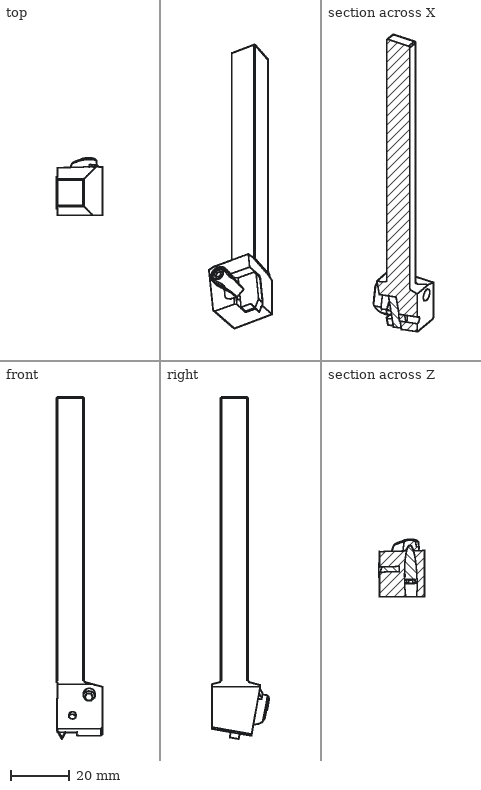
import cadquery as cq
import math


total_height = 117.4
shank_side = 9.5
shank_chamfer = 0.5

head_left = 0.4
head_right = 15.8
head_front = -7.7
head_stock = 10.6
trim_top_v = 35.2
shoulder_z = 19.5
shoulder_slope = 15.0
root_radius = 0.7

seat_tilt = 10.0
seat_twist = 1.5
seat_y = 5.3
head_bottom_v = 1.2
bottom_chamfer = 0.6
pocket_chamfer = 0.6

rake_depth = 3.8
insert_thickness = 3.2
insert_width = 6.9
insert_top_v = 13.6
insert_corner_radius = 1.3
tip_u = 1.8
tip_v = -0.66
tip_half_angle = 30.0
insert_base_v = 1.6
floor_depth = rake_depth + insert_thickness

relief_bottom_v = 3.8
relief_run = 3.9
relief_radius = 1.9

screw_u = 10.9
screw_v = 12.8
screw_diameter = 4.1
screw_end_depth = 10.9
screw_head_rise = 0.2
socket_size = 2.8
socket_depth = 1.2

clamp_head_radius = 3.0
clamp_head_chamfer = 0.6
clamp_thickness = 3.6
nose_u = 5.9
nose_v = 6.1
nose_half_width = 1.8
nose_round = 4.3
toe_depth = 2.1
toe_length = 1.4
tail_reach = 5.0
tail_half_width = 1.4
tail_thickness = 1.3
tail_slope_run = 1.8

pin_u = 5.2
pin_v = 5.8
pin_diameter = 2.5
pin_length = 2.6

through = 47.0

seat = (
    cq.Plane(origin=(0, seat_y, 0), xDir=(1, 0, 0), normal=(0, -1, 0))
    .rotated((0, seat_twist, 0))
    .rotated((-seat_tilt, 0, 0))
)


def on_seat(depth=0.0):
    """Workplane parallel to the rear face, at a depth below it."""
    return cq.Workplane(seat).workplane(offset=depth)


def nearest_edge(body, plane, point):
    """Edge of a body whose middle is nearest to a point given in a plane's own coordinates."""
    return body.edges(cq.selectors.NearestToPointSelector(plane.toWorldCoords(point).toTuple()))


def seat_cylinder(u, v, diameter, start_depth, end_depth):
    """Cylinder at right angles to the seat, between two depths."""
    return on_seat(start_depth).center(u, v).circle(diameter / 2).extrude(end_depth - start_depth)


def shoulder_end(start, end):
    """Height of the shoulder at `end` when it starts sloping at `start`."""
    return shoulder_z - abs(end - start) * math.tan(math.radians(shoulder_slope))


def root_middle(edge, outward):
    """Middle of the concave quarter circle between the shank's side, at `edge`, and the shoulder."""
    offset = root_radius * (1 - math.sqrt(0.5))
    return (edge + outward * offset, shoulder_z + offset)


def make_holder_blank():
    """Shank and head, common to a front profile and a side profile."""
    half_side = shank_side / 2
    shoulder_right = shank_side + root_radius
    front = (
        cq.Workplane("XZ")
        .moveTo(0, total_height)
        .lineTo(0, shoulder_z)
        .lineTo(head_left, shoulder_z)
        .lineTo(head_left, -head_stock)
        .lineTo(head_right, -head_stock)
        .lineTo(head_right, shoulder_end(shoulder_right, head_right))
        .lineTo(shoulder_right, shoulder_z)
        .threePointArc(root_middle(shank_side, 1), (shank_side, shoulder_z + root_radius))
        .lineTo(shank_side, total_height)
        .close()
    )

    shoulder_side = half_side + root_radius
    side = (
        cq.Workplane("YZ")
        .moveTo(half_side, total_height)
        .lineTo(-half_side, total_height)
        .lineTo(-half_side, shoulder_z + root_radius)
        .threePointArc(root_middle(-half_side, -1), (-shoulder_side, shoulder_z))
        .lineTo(head_front, shoulder_end(-shoulder_side, head_front))
        .lineTo(head_front, -head_stock)
        .lineTo(head_stock, -head_stock)
        .lineTo(head_stock, shoulder_end(shoulder_side, head_stock))
        .lineTo(shoulder_side, shoulder_z)
        .threePointArc(root_middle(half_side, 1), (half_side, shoulder_z + root_radius))
        .close()
    )
    blank = front.extrude(through, both=True).intersect(side.extrude(through, both=True))
    return blank.cut(make_shank_chamfers())


def make_shank_chamfers():
    """Material taken off the shank's end and its long edges, down to the root blend."""
    bar = (
        cq.Workplane("XY", origin=(shank_side / 2, 0, shoulder_z + root_radius))
        .rect(shank_side, shank_side)
        .extrude(total_height - shoulder_z - root_radius)
    )
    return bar.cut(bar.edges("|Z or >Z").chamfer(shank_chamfer))


def trim_head(blank):
    """Cuts the tilted rear and bottom faces of the head, well clear of the shank."""
    rear_waste = on_seat().rect(2 * through, 2 * trim_top_v).extrude(-through)
    bottom_waste = (
        on_seat(-through)
        .center(0, head_bottom_v - through / 2)
        .rect(2 * through, through)
        .extrude(2 * through)
    )
    return blank.cut(rear_waste).cut(bottom_waste)


def make_insert():
    """Plate with a rounded top left corner and a pointed tip at the bottom left."""
    tip_slope = 1 / math.tan(math.radians(tip_half_angle))
    return (
        on_seat(rake_depth)
        .moveTo(tip_u, tip_v)
        .lineTo(tip_u + (insert_base_v - tip_v) / tip_slope, insert_base_v)
        .lineTo(insert_width, insert_base_v)
        .lineTo(insert_width, insert_top_v)
        .lineTo(insert_corner_radius, insert_top_v)
        .radiusArc((0, insert_top_v - insert_corner_radius), -insert_corner_radius)
        .lineTo(0, tip_v + tip_u * tip_slope)
        .close()
        .extrude(insert_thickness)
    )


def make_insert_pocket():
    """Cut for the insert, open to the left, to the bottom and to the rear."""
    return (
        on_seat()
        .moveTo(-through, -through)
        .lineTo(insert_width, -through)
        .lineTo(insert_width, insert_top_v)
        .lineTo(-through, insert_top_v)
        .close()
        .extrude(floor_depth)
    )


def make_clamp_relief():
    """Space above the cutting face that widens towards the rear face; its lower end is rounded."""
    lower_end = cq.Workplane(seat.rotated((90, 0, 0))).workplane(offset=-relief_bottom_v)
    relief = (
        lower_end
        .lineTo(insert_width + relief_run, 0)
        .lineTo(insert_width, rake_depth)
        .lineTo(0, rake_depth)
        .close()
        .extrude(relief_bottom_v - insert_top_v)
    )
    lower_corner = (insert_width + relief_run / 2, relief_bottom_v, rake_depth / 2)
    return nearest_edge(relief, seat, lower_corner).fillet(relief_radius)


def make_holder():
    holder = trim_head(make_holder_blank())
    holder = holder.cut(make_insert_pocket())
    wall_corner = (insert_width, (head_bottom_v + insert_top_v) / 2, 0)
    holder = nearest_edge(holder, seat, wall_corner).chamfer(pocket_chamfer)
    right_corner = (head_right, head_bottom_v, floor_depth)
    holder = nearest_edge(holder, seat, right_corner).chamfer(bottom_chamfer)
    holder = holder.cut(make_clamp_relief())
    holder = holder.cut(seat_cylinder(screw_u, screw_v, screw_diameter, 0, through))
    return holder.cut(seat_cylinder(pin_u, pin_v, pin_diameter, 0, through))


def make_pin():
    return seat_cylinder(pin_u, pin_v, pin_diameter, floor_depth, floor_depth + pin_length)


def make_clamp():
    """Round head and narrower nose, with a toe that reaches below the rear face and a low tail."""
    run_u = nose_u - screw_u
    run_v = nose_v - screw_v
    reach = math.hypot(run_u, run_v)
    arm_angle = math.degrees(math.atan2(run_v, run_u))

    plan = cq.Plane(seat.toWorldCoords((screw_u, screw_v)), seat.xDir, seat.zDir)
    plan = plan.rotated((0, 0, arm_angle))
    corner_angle = math.atan2(nose_half_width, reach)
    touch_angle = corner_angle + math.acos(clamp_head_radius / math.hypot(reach, nose_half_width))
    touch_s = clamp_head_radius * math.cos(touch_angle)
    touch_t = clamp_head_radius * math.sin(touch_angle)
    body = (
        cq.Workplane(plan)
        .workplane(offset=-clamp_thickness)
        .moveTo(touch_s, touch_t)
        .threePointArc((-clamp_head_radius, 0), (touch_s, -touch_t))
        .lineTo(reach, -nose_half_width)
        .lineTo(reach, nose_half_width)
        .close()
        .extrude(clamp_thickness + toe_depth)
    )
    head_rim = (-clamp_head_radius, 0, -clamp_thickness)
    body = nearest_edge(body, plan, head_rim).chamfer(clamp_head_chamfer)

    side = cq.Workplane(plan.rotated((-90, 0, 0)))
    profile = (
        side
        .moveTo(-clamp_head_radius, 0)
        .lineTo(-clamp_head_radius, clamp_thickness)
        .lineTo(reach - nose_round, clamp_thickness)
        .radiusArc((reach, clamp_thickness - nose_round), nose_round)
        .lineTo(reach, -toe_depth)
        .lineTo(reach - toe_length, -toe_depth)
        .lineTo(reach - toe_length, 0)
        .close()
        .extrude(clamp_head_radius, both=True)
    )
    tail = (
        side
        .lineTo(-tail_reach, 0)
        .lineTo(-tail_reach + tail_slope_run, tail_thickness)
        .lineTo(0, tail_thickness)
        .close()
        .extrude(tail_half_width, both=True)
    )
    clamp = body.intersect(profile).union(tail)
    return clamp.cut(seat_cylinder(screw_u, screw_v, screw_diameter, -through, through))


def make_screw():
    """Plain stud with a hexagon socket in both ends."""
    head = -clamp_thickness - screw_head_rise
    screw = seat_cylinder(screw_u, screw_v, screw_diameter, head, screw_end_depth)
    for end, direction in ((head, 1), (screw_end_depth, -1)):
        socket = on_seat(end).center(screw_u, screw_v).polygon(6, socket_size)
        screw = screw.cut(socket.extrude(direction * socket_depth))
    return screw


holder = make_holder()
insert = make_insert()
clamp = make_clamp()
clamp_screw = make_screw()
pin = make_pin()

result = cq.Compound.makeCompound(
    [holder.val(), insert.val(), clamp.val(), clamp_screw.val(), pin.val()]
)